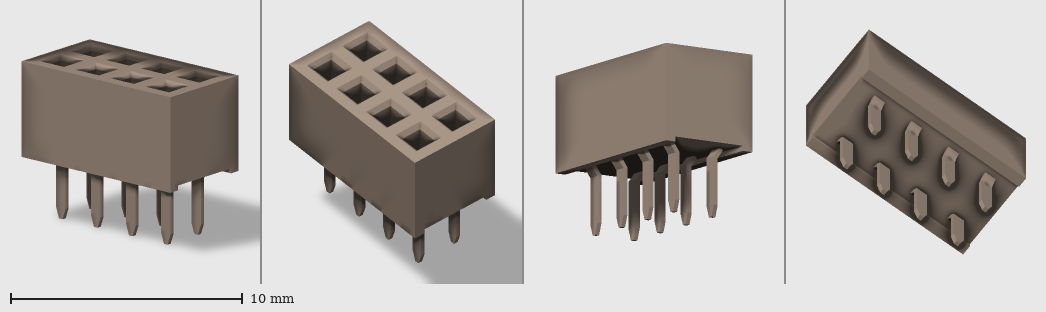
import cadquery as cq
import math


columns = 4
rows = 2
pitch = 2.0

length = 8.51
width = 4.5
height = 4.3
foot_width = 0.5
foot_height = 0.22

socket_side = 1.0
socket_depth = 2.98
lead_in = 0.2

pin_width = 0.55
pin_thickness = 0.2
pin_drop = 2.8
tip_width = 0.2
tip_length = 0.5
bend_angle = math.radians(36)
bend_depth = 0.24
pin_end_height = 0.145


def grid_places(count):
    """Centred positions of evenly pitched contacts along one axis."""
    return [(i - (count - 1) / 2) * pitch for i in range(count)]


def make_housing():
    """Block with a channel along X underneath, leaving a foot on each long side."""
    block = cq.Workplane("XY").box(length, width, height, centered=(True, True, False))
    channel = cq.Workplane("XY").box(
        length, width - 2 * foot_width, foot_height, centered=(True, True, False)
    )
    return block.cut(channel)


def make_socket():
    """Square blind hole with a 45 degree lead-in, centred on the Z axis."""
    hole = cq.Workplane("XY").workplane(offset=height).rect(socket_side, socket_side).extrude(-socket_depth)
    opening = socket_side + 2 * lead_in
    funnel = (
        cq.Workplane("XY")
        .workplane(offset=height - lead_in)
        .rect(socket_side, socket_side)
        .workplane(offset=lead_in)
        .rect(opening, opening)
        .loft(ruled=True)
    )
    return hole.union(funnel)


def make_pin():
    """Pin for the +Y row: straight leg with a tapered tip, bent outwards into the housing."""
    outer_y = pin_thickness / 2
    inner_y = -outer_y
    inner_bend_z = -bend_depth + pin_thickness * math.tan(bend_angle / 2)
    end_y = outer_y + (pin_end_height + bend_depth) * math.tan(bend_angle)
    inner_end_y = end_y - pin_thickness * math.cos(bend_angle)
    inner_end_z = pin_end_height + pin_thickness * math.sin(bend_angle)
    strip = (
        cq.Workplane("YZ")
        .polyline([
            (inner_y, -pin_drop),
            (outer_y, -pin_drop),
            (outer_y, -bend_depth),
            (end_y, pin_end_height),
            (inner_end_y, inner_end_z),
            (inner_y, inner_bend_z),
        ])
        .close()
        .extrude(pin_width / 2, both=True)
    )
    tip_top = tip_length - pin_drop
    front_outline = (
        cq.Workplane("XZ")
        .polyline([
            (-tip_width / 2, -pin_drop),
            (tip_width / 2, -pin_drop),
            (pin_width / 2, tip_top),
            (pin_width / 2, height),
            (-pin_width / 2, height),
            (-pin_width / 2, tip_top),
        ])
        .close()
        .extrude(width / 2, both=True)
    )
    return strip.intersect(front_outline)


socket = make_socket()
outer_row_pin = make_pin()
opposite_row_pin = outer_row_pin.mirror("XZ")

result = make_housing()
for x in grid_places(columns):
    for y in grid_places(rows):
        pin = outer_row_pin if y > 0 else opposite_row_pin
        result = result.cut(socket.translate((x, y, 0)))
        result = result.union(pin.translate((x, y, 0)))